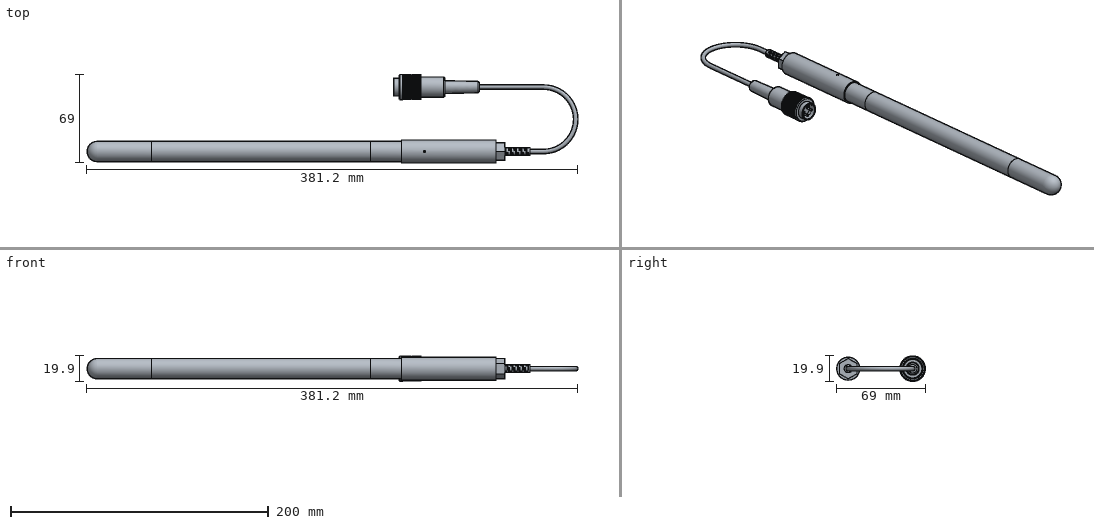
import cadquery as cq
import math

TUBE_DIAMETER = 16.0
HANDLE_DIAMETER = 18.0
TIP_END = 50.0
TUBE_END = 220.0
REAR_TUBE_END = 244.0
HANDLE_END = 317.5
HANDLE_HOLE_DIAMETER = 1.5
HANDLE_HOLE_DEPTH = 2.0
HANDLE_HOLE_X = 262.0

NUT_ACROSS_FLATS = 13.7
NUT_END = 324.3

RELIEF_DIAMETER = 6.3
RELIEF_END = 344.0
RELIEF_SLOT_WIDTH = 0.7
RELIEF_SLOT_PITCH = 1.35
RELIEF_SLOT_DEPTH = 1.0
RELIEF_SLOT_COUNT = 14
RELIEF_SLOT_TURN = 60.0

CABLE_DIAMETER = 3.7
CONNECTOR_Y = 50.0
CABLE_BEND_RADIUS = CONNECTOR_Y / 2
OVERALL_LENGTH = 381.19
CABLE_BEND_X = OVERALL_LENGTH - CABLE_BEND_RADIUS - CABLE_DIAMETER / 2

SHELL_DIAMETER = 13.9
SHELL_START = 238.0
SHELL_BORE_DIAMETER = 12.0
SHELL_BORE_DEPTH = 6.0
CONTACT_DIAMETER = 1.5
CONTACT_CIRCLE_RADIUS = 3.7
CONTACT_LENGTH = 5.0
CONTACT_COUNT = 4
BODY_DIAMETER = 16.0
BODY_END = 277.7
SLEEVE_FRONT_DIAMETER = 10.2
SLEEVE_REAR_DIAMETER = 9.0
SLEEVE_END = 304.8
SLEEVE_CHAMFER = 1.2
EDGE_CHAMFER = 0.8

RING_START = 242.3
RING_END = 259.4
RING_DIAMETER = 19.9
RING_RIM_WIDTH = 2.6
KNURL_DIAMETER = 19.4
KNURL_COUNT = 36
KNURL_DEPTH = 0.6
KNURL_WIDTH = 0.8
RING_GROOVE_WIDTH = 1.2
RING_GROOVE_DEPTH = 0.3


def rod(start, end, diameter, y=0.0):
    """Round bar parallel to X, from one X position to another."""
    return cq.Workplane("YZ", origin=(start, y, 0)).circle(diameter / 2).extrude(end - start)


def make_tip():
    radius = TUBE_DIAMETER / 2
    half_profile = (
        cq.Workplane("XY")
        .moveTo(0, 0)
        .radiusArc((radius, radius), radius)
        .lineTo(TIP_END, radius)
        .lineTo(TIP_END, 0)
        .close()
    )
    return half_profile.revolve(360, (0, 0, 0), (1, 0, 0))


def make_handle():
    handle = rod(REAR_TUBE_END, HANDLE_END, HANDLE_DIAMETER)
    top_hole = (
        cq.Workplane("XY", origin=(HANDLE_HOLE_X, 0, HANDLE_DIAMETER / 2))
        .circle(HANDLE_HOLE_DIAMETER / 2)
        .extrude(-HANDLE_HOLE_DEPTH)
    )
    return handle.cut(top_hole)


def make_nut():
    across_corners = NUT_ACROSS_FLATS / math.cos(math.pi / 6)
    return (
        cq.Workplane("YZ", origin=(HANDLE_END, 0, 0))
        .transformed(rotate=(0, 0, 90))
        .polygon(6, across_corners)
        .extrude(NUT_END - HANDLE_END)
    )


def make_relief():
    """Sleeve with pairs of cross slots, each pair turned a step further about the cable."""
    relief = rod(NUT_END, RELIEF_END, RELIEF_DIAMETER).cut(rod(NUT_END, RELIEF_END, CABLE_DIAMETER))
    slot_offset = RELIEF_DIAMETER / 2 - RELIEF_SLOT_DEPTH / 2
    for index in range(RELIEF_SLOT_COUNT):
        x = NUT_END + RELIEF_SLOT_PITCH * (index + 0.5)
        for side in (-1, 1):
            slot = cq.Workplane("XY").box(RELIEF_SLOT_WIDTH, RELIEF_DIAMETER, RELIEF_SLOT_DEPTH)
            slot = slot.translate((x, 0, side * slot_offset))
            relief = relief.cut(slot.rotate((0, 0, 0), (1, 0, 0), RELIEF_SLOT_TURN * index))
    return relief


def make_cable():
    path = (
        cq.Workplane("XY")
        .moveTo(NUT_END, 0)
        .lineTo(CABLE_BEND_X, 0)
        .threePointArc((CABLE_BEND_X + CABLE_BEND_RADIUS, CABLE_BEND_RADIUS), (CABLE_BEND_X, CONNECTOR_Y))
        .lineTo(SLEEVE_END, CONNECTOR_Y)
    )
    return cq.Workplane("YZ", origin=(NUT_END, 0, 0)).circle(CABLE_DIAMETER / 2).sweep(path)


def make_connector_body():
    """Shell and barrel with contact pins standing on the floor of the shell bore."""
    shell = rod(SHELL_START, RING_END, SHELL_DIAMETER, CONNECTOR_Y)
    barrel = rod(RING_END, BODY_END, BODY_DIAMETER, CONNECTOR_Y).faces(">X").chamfer(EDGE_CHAMFER)
    bore_end = SHELL_START + SHELL_BORE_DEPTH
    bore = rod(SHELL_START, bore_end, SHELL_BORE_DIAMETER, CONNECTOR_Y)
    contact_pins = (
        cq.Workplane("YZ", origin=(bore_end, CONNECTOR_Y, 0))
        .polarArray(CONTACT_CIRCLE_RADIUS, 0, 360, CONTACT_COUNT)
        .circle(CONTACT_DIAMETER / 2)
        .extrude(-CONTACT_LENGTH)
    )
    return shell.union(barrel).cut(bore).union(contact_pins)


def make_sleeve():
    return (
        cq.Workplane("YZ", origin=(BODY_END, CONNECTOR_Y, 0))
        .circle(SLEEVE_FRONT_DIAMETER / 2)
        .workplane(offset=SLEEVE_END - BODY_END)
        .circle(SLEEVE_REAR_DIAMETER / 2)
        .loft()
        .faces(">X")
        .chamfer(SLEEVE_CHAMFER)
    )


def make_coupling_ring():
    knurl_start = RING_START + RING_RIM_WIDTH
    rim = rod(RING_START, knurl_start, RING_DIAMETER, CONNECTOR_Y).faces("<X").chamfer(EDGE_CHAMFER)
    grip = rod(knurl_start, RING_END, KNURL_DIAMETER, CONNECTOR_Y)
    flutes = (
        cq.Workplane("YZ", origin=(knurl_start, CONNECTOR_Y, 0))
        .polarArray(KNURL_DIAMETER / 2, 0, 360, KNURL_COUNT)
        .rect(2 * KNURL_DEPTH, KNURL_WIDTH)
        .extrude(RING_END - knurl_start)
    )
    groove_start = (knurl_start + RING_END - RING_GROOVE_WIDTH) / 2
    groove_end = groove_start + RING_GROOVE_WIDTH
    groove = rod(groove_start, groove_end, RING_DIAMETER, CONNECTOR_Y).cut(
        rod(groove_start, groove_end, KNURL_DIAMETER - 2 * RING_GROOVE_DEPTH, CONNECTOR_Y)
    )
    shell_hole = rod(RING_START, RING_END, SHELL_DIAMETER, CONNECTOR_Y)
    return rim.union(grip.cut(flutes).cut(groove)).cut(shell_hole)


tip = make_tip()
tube = rod(TIP_END, TUBE_END, TUBE_DIAMETER)
rear_tube = rod(TUBE_END, REAR_TUBE_END, TUBE_DIAMETER)
handle = make_handle()
nut = make_nut()
relief = make_relief()
cable = make_cable()
connector_body = make_connector_body()
sleeve = make_sleeve()
coupling_ring = make_coupling_ring()

bodies = [tip, tube, rear_tube, handle, nut, relief, cable, connector_body, sleeve, coupling_ring]
result = cq.Compound.makeCompound([body.val() for body in bodies])